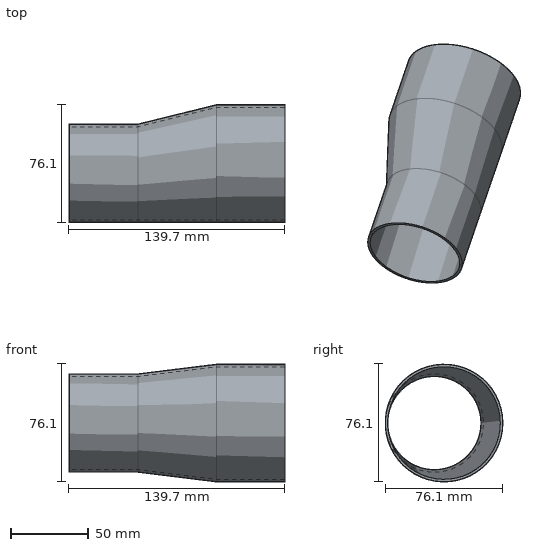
import cadquery as cq

total_length = 139.7
tube_length = 44.4
transition_length = total_length - 2 * tube_length
large_diameter = 76.1
small_diameter = 63.5
wall = 1.7

small_axis_y = -(large_diameter - small_diameter) / 2


def reducer_body(small_end_diameter, large_end_diameter):
    """Solid reducer shape, from the small end at X = 0 to the large end."""
    small_tube = (
        cq.Workplane("YZ")
        .center(small_axis_y, 0)
        .circle(small_end_diameter / 2)
        .extrude(tube_length)
    )
    transition = (
        cq.Workplane("YZ", origin=(tube_length, 0, 0))
        .center(small_axis_y, 0)
        .circle(small_end_diameter / 2)
        .workplane(offset=transition_length)
        .center(-small_axis_y, 0)
        .circle(large_end_diameter / 2)
        .loft(ruled=True)
    )
    large_tube = (
        cq.Workplane("YZ", origin=(tube_length + transition_length, 0, 0))
        .circle(large_end_diameter / 2)
        .extrude(tube_length)
    )
    return small_tube.union(transition).union(large_tube)


outside = reducer_body(small_diameter, large_diameter)
bore = reducer_body(small_diameter - 2 * wall, large_diameter - 2 * wall)

result = outside.cut(bore)